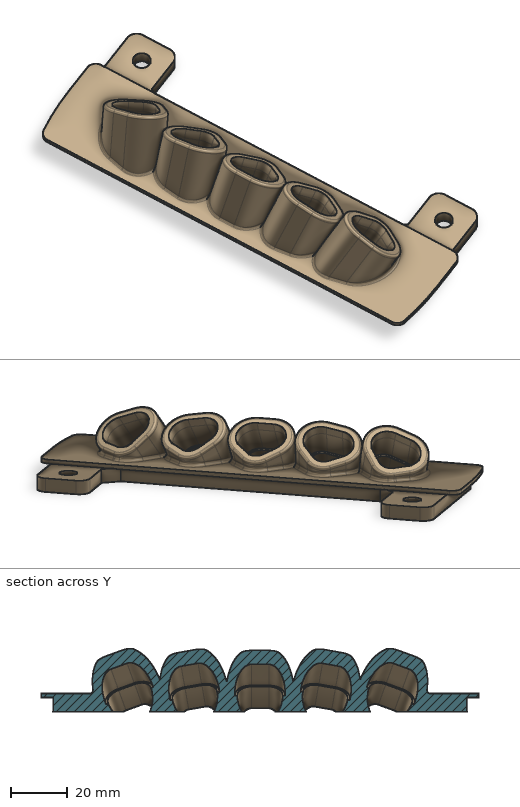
import cadquery as cq
import math

plate_length = 154.0
plate_depth = 37.2
plate_thickness = 1.5
plate_side_straight_start = 21.4
plate_side_radius = 105.0
plate_back_corner_radius = 3.5
plate_front_corner_radius = 3.5

body_height = 5.0
body_length = 145.4
body_front = 5.7
body_back = 35.0
body_corner_radius = 2.6
body_front_slope = 7.0
body_blend_radius = 30.0
body_flat_half_length = 64.5

overall_depth = 56.8
tab_width = 19.2
tab_corner_radius = 4.0
tab_hole_diameter = 6.3
tab_hole_inset = 9.4
tab_flare_start = 39.1
tab_flare_angle = 35.0

socket_count = 5
socket_spacing = 22.85
socket_fan_step = 10.0
socket_lean = 35.0
fan_axis_height = 5.5
rim_center_y = 22.7
rim_center_z = 16.9
rim_fillet = 1.0
base_fillet = 1.1
socket_length = 30.0

front_flat_half = 3.0
tip_slope = 40.0
outer_side_radius = 9.0
outer_tip_radius = 6.8
bore_side_radius = 5.75
bore_tip_radius = 4.1
mouth_depth = 3.3
mouth_flare = 0.3
ledge_depth = 13.3
ledge_width = 0.8
bore_length = 40.0

plate_top = body_height + plate_thickness


def mirrored_pair(shape):
    return shape.union(shape.mirror("YZ"))


def make_plate():
    half = plate_length / 2
    sweep = math.asin(plate_side_straight_start / plate_side_radius)
    inset = plate_side_radius * (1 - math.cos(sweep))
    mid_inset = plate_side_radius * (1 - math.cos(sweep / 2))
    mid_y = plate_side_straight_start - plate_side_radius * math.sin(sweep / 2)
    outline = (
        cq.Workplane("XY", origin=(0, 0, body_height))
        .moveTo(inset - half, 0)
        .lineTo(half - inset, 0)
        .threePointArc((half - mid_inset, mid_y), (half, plate_side_straight_start))
        .lineTo(half, plate_depth)
        .lineTo(-half, plate_depth)
        .lineTo(-half, plate_side_straight_start)
        .threePointArc((mid_inset - half, mid_y), (inset - half, 0))
        .close()
    )
    plate = outline.extrude(plate_thickness)
    plate = plate.edges("|Z and >Y").fillet(plate_back_corner_radius)
    return plate.edges("|Z and <Y").fillet(plate_front_corner_radius)


def make_body():
    """Right half of the body with its tab, mirrored to the left."""
    half = body_length / 2
    slope = math.radians(body_front_slope)
    blend_end = (
        body_flat_half_length + body_blend_radius * math.sin(slope),
        body_front + body_blend_radius * (1 - math.cos(slope)),
    )
    blend_mid = (
        body_flat_half_length + body_blend_radius * math.sin(slope / 2),
        body_front + body_blend_radius * (1 - math.cos(slope / 2)),
    )
    corner_y = blend_end[1] + (half - blend_end[0]) * math.tan(slope)
    tab_inner = half - tab_width
    flare_run = (tab_flare_start - body_back) / math.tan(math.radians(tab_flare_angle))
    body = (
        cq.Workplane("XY")
        .moveTo(0, body_front)
        .lineTo(body_flat_half_length, body_front)
        .threePointArc(blend_mid, blend_end)
        .lineTo(half, corner_y)
        .lineTo(half, overall_depth)
        .lineTo(tab_inner, overall_depth)
        .lineTo(tab_inner, tab_flare_start)
        .lineTo(tab_inner - flare_run, body_back)
        .lineTo(0, body_back)
        .close()
        .extrude(body_height)
    )
    body = body.edges("|Z and >Y").fillet(tab_corner_radius)
    body = body.edges("|Z and >X").edges("<Y").fillet(body_corner_radius)
    hole = (
        cq.Workplane("XY")
        .center(half - tab_width / 2, overall_depth - tab_hole_inset)
        .circle(tab_hole_diameter / 2)
        .extrude(body_height)
    )
    return mirrored_pair(body.cut(hole))


def socket_section(side_radius, tip_radius, height):
    """Closed outline at a local height; the sloped lines are tangent to the side arcs and the tip arc."""
    slope = math.radians(tip_slope)
    apex = (front_flat_half * math.sin(slope) + side_radius) / math.cos(slope)
    tip_center = apex - tip_radius / math.cos(slope)
    mid_angle = -slope / 2
    side_mid = (
        front_flat_half + side_radius * math.cos(mid_angle),
        side_radius * math.sin(mid_angle),
    )
    side_end = (front_flat_half + side_radius * math.sin(slope), side_radius * math.cos(slope))
    tip_start = (tip_radius * math.sin(slope), tip_center + tip_radius * math.cos(slope))
    return (
        cq.Workplane("XY", origin=(0, 0, height))
        .moveTo(-front_flat_half, -side_radius)
        .lineTo(front_flat_half, -side_radius)
        .threePointArc(side_mid, side_end)
        .lineTo(*tip_start)
        .threePointArc((0, tip_center + tip_radius), (-tip_start[0], tip_start[1]))
        .lineTo(-side_end[0], side_end[1])
        .threePointArc((-side_mid[0], side_mid[1]), (-front_flat_half, -side_radius))
        .close()
    )


def bore_section(offset, height):
    return socket_section(bore_side_radius + offset, bore_tip_radius + offset, height)


def make_socket():
    """Solid tube with its rounded rim at local Z = 0."""
    tube = socket_section(outer_side_radius, outer_tip_radius, 0).extrude(-socket_length)
    return tube.faces(">Z").edges().fillet(rim_fillet)


def make_bore():
    """Flared mouth, straight seat and a narrower outlet beyond a ledge."""
    mouth_outlines = [bore_section(mouth_flare, 0).val(), bore_section(0, -mouth_depth).val()]
    mouth = cq.Workplane(cq.Solid.makeLoft(mouth_outlines))
    seat = bore_section(0, -mouth_depth).extrude(mouth_depth - ledge_depth)
    outlet = bore_section(-ledge_width, -ledge_depth).extrude(ledge_depth - bore_length)
    return mouth.union(seat).union(outlet)


def fanned(shape):
    """Copies of a socket-shaped solid, leaned back and fanned out along X."""
    leaned = shape.rotate((0, 0, 0), (1, 0, 0), -socket_lean).translate((0, rim_center_y, rim_center_z))
    copies = []
    for index in range(socket_count):
        step = index - (socket_count - 1) / 2
        axis_start = (0, 0, fan_axis_height)
        axis_end = (0, 1, fan_axis_height)
        turned = leaned.rotate(axis_start, axis_end, step * socket_fan_step)
        copies.append(turned.translate((step * socket_spacing, 0, 0)))
    joined = copies[0]
    for copy in copies[1:]:
        joined = joined.union(copy)
    return joined


def make_top():
    """Plate with the solid sockets on it, rounded into the plate along their feet."""
    room = (
        cq.Workplane("XY", origin=(0, plate_depth / 2, body_height))
        .rect(plate_length, plate_depth)
        .extrude(plate_length)
    )
    top = make_plate().union(fanned(make_socket()).intersect(room))
    margin = plate_thickness
    feet = cq.selectors.BoxSelector(
        (margin - plate_length / 2, margin, plate_top - margin / 2),
        (plate_length / 2 - margin, plate_depth - margin, plate_top + margin / 2),
        boundingbox=True,
    )
    return top.edges(feet).fillet(base_fillet)


result = make_top().union(make_body()).cut(fanned(make_bore()))